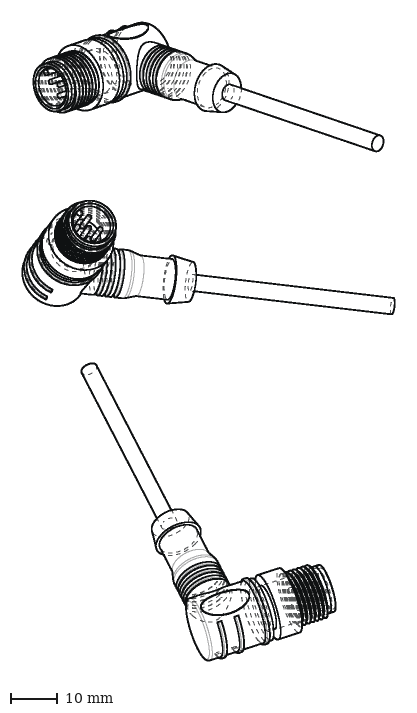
import cadquery as cq
import math


HOUSING_RADIUS = 7.0
HOUSING_BACK = 5.5
HOUSING_FRONT = -9.2
REAR_ROUNDING = 0.5

RIB_HEIGHT = 0.4
RIB_WIDTH = 1.0
RIB_ROUNDING = 0.25
RIB_ROOT_OVERLAP = 0.25
COLLAR_RIB_CENTER = -7.7
THUMB_RIB_CENTERS = (2.1, -1.8)
THUMB_RIB_START_ANGLE = 123.5
THUMB_RIB_END_ANGLE = 250.0

LABEL_CENTER_Y = -0.8
LABEL_HALF_WIDTH = 2.9
LABEL_HALF_LENGTH = 5.45
LABEL_DEPTH = 0.2

GRIP_RADIUS = 5.2
GRIP_CONE_START = 14.6
NECK_RADIUS = 4.4
NECK_START = 17.2
GRIP_ROUNDING = 2.0
SHOULDER_MARGIN = 0.1
GROOVE_WIDTH = 1.0
GROOVE_DEPTH = 0.3
GROOVE_ROUNDING = 0.25
GROOVE_FIRST_CENTER = 8.4
GROOVE_PITCH = 1.95
GROOVE_COUNT = 3
END_COLLAR_START = 24.3
END_COLLAR_END = 28.95
END_COLLAR_RADIUS_LARGE = 5.2
END_COLLAR_RADIUS_SMALL = 4.3

CABLE_RADIUS = 1.8
CABLE_OFFSET_Y = 0.3
CABLE_END = 73.9

NUT_RADIUS = 7.2
NUT_BACK = -10.65
THREAD_BACK = -15.6
THREAD_FRONT = -22.2
NUT_FRONT = -23.1
THREAD_MAJOR_RADIUS = 6.0
THREAD_ROOT_RADIUS = 5.3
THREAD_PITCH = 1.0
THREAD_ROOT_WIDTH = 0.9
THREAD_CREST_WIDTH = 0.12
THREAD_OVERLAP = 0.1

STEM_RADIUS = 4.9
PLUG_FRONT = -24.15
SOCKET_RADIUS = 4.15
SOCKET_MOUTH_RADIUS = 4.6
SOCKET_MOUTH_DEPTH = 0.5
SOCKET_FLOOR = -16.3
KEY_RADIUS = 0.65
KEY_OFFSET = 2.5
KEY_FRONT = -23.1
PIN_RADIUS = 0.53
PIN_OFFSET = 2.5
PIN_TIP = -21.95
PIN_ROUNDING = 0.3


def cylinder_y(radius, y_start, y_end, x=0.0, z=0.0):
    """Cylinder parallel to Y between two Y positions."""
    return (
        cq.Workplane("XZ", origin=(0, y_start, 0))
        .center(x, z)
        .circle(radius)
        .extrude(y_start - y_end)
    )


def rib_ring(center_y):
    """Full ring around the housing with a rounded outer profile."""
    outer = cylinder_y(
        HOUSING_RADIUS + RIB_HEIGHT, center_y + RIB_WIDTH / 2, center_y - RIB_WIDTH / 2
    ).edges().fillet(RIB_ROUNDING)
    core = cylinder_y(
        HOUSING_RADIUS - RIB_ROOT_OVERLAP, center_y + RIB_WIDTH, center_y - RIB_WIDTH
    )
    return outer.cut(core)


def thumb_rib(center_y):
    """Part of a rib ring on the -X side, between the two end angles."""
    reach = 2 * HOUSING_RADIUS
    middle_angle = (THUMB_RIB_START_ANGLE + THUMB_RIB_END_ANGLE) / 2
    corners = [
        (reach * math.cos(math.radians(angle)), reach * math.sin(math.radians(angle)))
        for angle in (THUMB_RIB_START_ANGLE, middle_angle, THUMB_RIB_END_ANGLE)
    ]
    sector = (
        cq.Workplane("XZ", origin=(0, center_y, 0))
        .polyline([(0, 0)] + corners)
        .close()
        .extrude(RIB_WIDTH, both=True)
    )
    return rib_ring(center_y).intersect(sector)


def label_recess():
    """Oval skin of the housing that is removed to form the label recess."""
    oval = (
        cq.Workplane("XY", origin=(0, LABEL_CENTER_Y, 0))
        .ellipse(LABEL_HALF_WIDTH, LABEL_HALF_LENGTH)
        .extrude(2 * HOUSING_RADIUS)
    )
    return oval.cut(cylinder_y(HOUSING_RADIUS - LABEL_DEPTH, HOUSING_BACK, HOUSING_FRONT))


def make_housing():
    """Plug housing with its rounded rear edge, collar rib and thumb ribs."""
    housing = cylinder_y(HOUSING_RADIUS, HOUSING_BACK, HOUSING_FRONT)
    housing = housing.faces(">Y").edges().fillet(REAR_ROUNDING)
    housing = housing.union(rib_ring(COLLAR_RIB_CENTER))
    for center_y in THUMB_RIB_CENTERS:
        housing = housing.union(thumb_rib(center_y))
    return housing


def grip_groove(center_x):
    """Ring cutter for a groove in the grip, with a rounded floor."""
    ring = (
        cq.Workplane("YZ", origin=(center_x - GROOVE_WIDTH / 2, 0, 0))
        .circle(2 * GRIP_RADIUS)
        .circle(GRIP_RADIUS - GROOVE_DEPTH)
        .extrude(GROOVE_WIDTH)
    )
    floor_edges = cq.selectors.RadiusNthSelector(0)
    return ring.edges(floor_edges).fillet(GROOVE_ROUNDING)


def make_outlet():
    """Grooved grip, neck and tapered end collar, turned about X."""
    outlet = (
        cq.Workplane("XY")
        .polyline(
            [
                (0, 0),
                (0, GRIP_RADIUS),
                (GRIP_CONE_START, GRIP_RADIUS),
                (NECK_START, NECK_RADIUS),
                (END_COLLAR_START, NECK_RADIUS),
                (END_COLLAR_START, END_COLLAR_RADIUS_LARGE),
                (END_COLLAR_END, END_COLLAR_RADIUS_SMALL),
                (END_COLLAR_END, 0),
            ]
        )
        .close()
        .revolve(360, (0, 0), (1, 0))
    )
    cone_shoulder = cq.selectors.BoxSelector(
        (GRIP_CONE_START - SHOULDER_MARGIN, -GRIP_RADIUS, -GRIP_RADIUS),
        (GRIP_CONE_START + SHOULDER_MARGIN, GRIP_RADIUS, GRIP_RADIUS),
    )
    outlet = outlet.edges(cone_shoulder).fillet(GRIP_ROUNDING)
    for index in range(GROOVE_COUNT):
        outlet = outlet.cut(grip_groove(GROOVE_FIRST_CENTER + index * GROOVE_PITCH))
    return outlet


def make_cable():
    """Round cable leaving the end collar."""
    return (
        cq.Workplane("YZ", origin=(NECK_START, CABLE_OFFSET_Y, 0))
        .circle(CABLE_RADIUS)
        .extrude(CABLE_END - NECK_START)
    )


def make_insert():
    """Stem and front lip that carry the nut, with the socket, its key and the five pins."""
    insert = cylinder_y(STEM_RADIUS, HOUSING_FRONT, PLUG_FRONT)
    insert = insert.union(cylinder_y(THREAD_ROOT_RADIUS, NUT_FRONT, PLUG_FRONT))
    socket = (
        cq.Workplane("XY")
        .polyline(
            [
                (0, SOCKET_FLOOR),
                (SOCKET_RADIUS, SOCKET_FLOOR),
                (SOCKET_RADIUS, PLUG_FRONT + SOCKET_MOUTH_DEPTH),
                (SOCKET_MOUTH_RADIUS, PLUG_FRONT),
                (0, PLUG_FRONT),
            ]
        )
        .close()
        .revolve(360, (0, 0), (0, 1))
    )
    key = cylinder_y(KEY_RADIUS, SOCKET_FLOOR, KEY_FRONT, -KEY_OFFSET, KEY_OFFSET)
    insert = insert.cut(socket.cut(key))

    pin_places = [(0, 0), (PIN_OFFSET, 0), (0, PIN_OFFSET), (-PIN_OFFSET, 0), (0, -PIN_OFFSET)]
    for x, z in pin_places:
        pin = cylinder_y(PIN_RADIUS, SOCKET_FLOOR, PIN_TIP, x, z)
        pin = pin.faces("<Y").edges().fillet(PIN_ROUNDING)
        insert = insert.union(pin)
    return insert


def make_thread():
    """Right-hand helical ridge, trimmed square at both ends of the thread."""
    length = THREAD_BACK - THREAD_FRONT + 2 * THREAD_PITCH
    inner_radius = THREAD_ROOT_RADIUS - THREAD_OVERLAP
    helix = cq.Wire.makeHelix(THREAD_PITCH, length, THREAD_ROOT_RADIUS)
    ridge = (
        cq.Workplane("XZ")
        .polyline(
            [
                (inner_radius, -THREAD_ROOT_WIDTH / 2),
                (THREAD_MAJOR_RADIUS, -THREAD_CREST_WIDTH / 2),
                (THREAD_MAJOR_RADIUS, THREAD_CREST_WIDTH / 2),
                (inner_radius, THREAD_ROOT_WIDTH / 2),
            ]
        )
        .close()
        .sweep(cq.Workplane(helix), isFrenet=True)
        .rotate((0, 0, 0), (1, 0, 0), 90)
        .translate((0, THREAD_BACK + THREAD_PITCH, 0))
    )
    return ridge.intersect(cylinder_y(NUT_RADIUS, THREAD_BACK, THREAD_FRONT))


def make_nut():
    """Coupling nut: plain ring, threaded sleeve and through bore for the stem."""
    nut = cylinder_y(NUT_RADIUS, NUT_BACK, THREAD_BACK)
    nut = nut.union(cylinder_y(THREAD_ROOT_RADIUS, NUT_BACK, NUT_FRONT))
    nut = nut.union(make_thread())
    return nut.cut(cylinder_y(STEM_RADIUS, NUT_BACK, NUT_FRONT))


def make_connector():
    """Moulded connector: housing, cable outlet, cable and plug insert as one solid."""
    connector = make_housing().union(make_outlet()).cut(label_recess())
    return connector.union(make_cable()).union(make_insert())


connector = make_connector()
coupling_nut = make_nut()
result = cq.Compound.makeCompound([connector.solids().val(), coupling_nut.solids().val()])